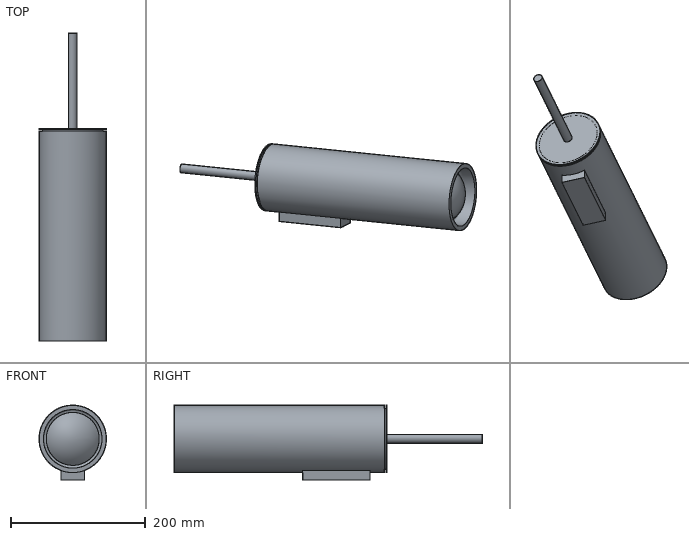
import cadquery as cq
import math

total_length = 457.0
outer_radius = 50.05

holder_length = 311.5
recess_radius = 43.5
cove_radius = 4.0
dome_edge_depth = 20.5
dome_edge_radius = recess_radius - cove_radius
dome_height = 20.0

block_width = 35.0
block_length = 100.0
block_start = 190.5
block_bottom = 61.2

gap_height = 2.5
neck_radius = 45.2
lid_thickness = 2.0
handle_radius = 6.63


def rod(radius, start, end):
    """Cylinder along +Y between two Y positions."""
    return cq.Workplane("XZ", origin=(0, start, 0)).circle(radius).extrude(start - end)


def make_shell():
    """Cylinder whose open end holds a coved recess around a dome."""
    cove_start = dome_edge_depth - cove_radius
    cove_middle_offset = cove_radius * math.sqrt(0.5)
    cove_middle = (
        dome_edge_radius + cove_middle_offset,
        cove_start + cove_middle_offset,
    )
    dome_radius = (dome_edge_radius**2 + dome_height**2) / (2 * dome_height)
    dome_top = dome_edge_depth - dome_height
    dome_middle_x = dome_edge_radius / 2
    dome_middle = (
        dome_middle_x,
        dome_top + dome_radius - math.sqrt(dome_radius**2 - dome_middle_x**2),
    )
    profile = (
        cq.Workplane("XY")
        .moveTo(0, holder_length)
        .lineTo(outer_radius, holder_length)
        .lineTo(outer_radius, 0)
        .lineTo(recess_radius, 0)
        .lineTo(recess_radius, cove_start)
        .threePointArc(cove_middle, (dome_edge_radius, dome_edge_depth))
        .threePointArc(dome_middle, (0, dome_top))
        .close()
    )
    return profile.revolve(360, (0, 0, 0), (0, 1, 0))


def make_block():
    """Rectangular mount with its top cut round to fit the cylinder."""
    block = cq.Workplane("XY").box(
        block_width, block_length, block_bottom, centered=(True, False, False)
    )
    block = block.translate((0, block_start, -block_bottom))
    return block.cut(rod(outer_radius, 0, holder_length))


def make_holder():
    return make_shell().union(make_block())


def make_brush():
    """Neck, lid and handle, resting on the closed end of the holder."""
    lid_start = holder_length + gap_height
    lid_end = lid_start + lid_thickness
    neck = rod(neck_radius, holder_length, lid_start)
    lid = rod(outer_radius, lid_start, lid_end)
    handle = rod(handle_radius, lid_end, total_length)
    return neck.union(lid).union(handle)


holder = make_holder()
brush = make_brush()

result = cq.Compound.makeCompound([holder.val(), brush.val()])